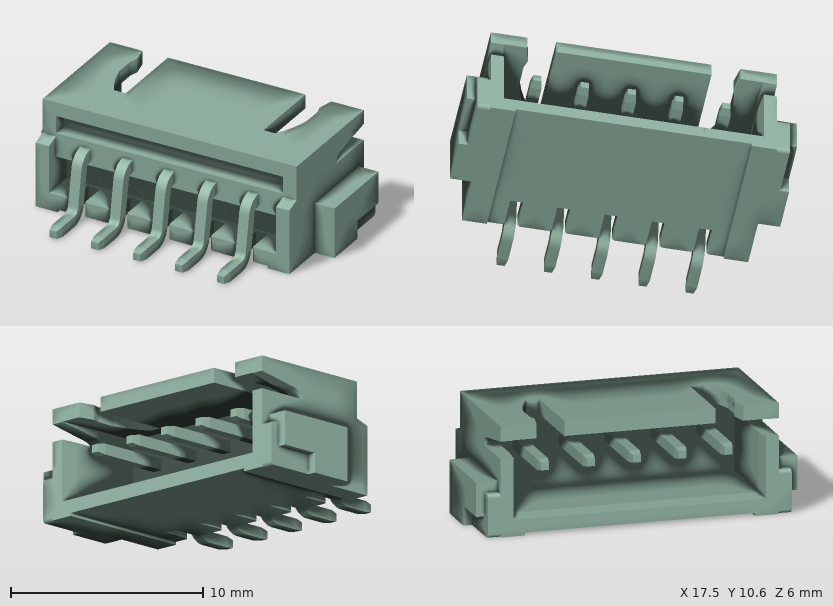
import cadquery as cq
import math


width = 15.15
height = 6.0
wall = 0.8
roof_depth = 7.12
base_depth = 7.88
step_top = 4.0
step_bottom = 3.76
foot_width = 1.31
foot_height = 0.15

inner_width = width - 2 * wall
ceiling = height - wall
floor_level = 1.0

recess_depth = 6.0
shelf_depth = 6.32
web_top = 4.18
web_bottom = 2.8
web_slope = 15.0

cavity_depth = recess_depth - wall
lead_depth = 1.0
lead_flare = 0.1

pin_count = 5
pin_pitch = 2.5
pin_size = 0.6
pin_top = 3.8
pin_start = 0.5
pin_end = 10.6
pin_tip = 0.49
pin_tip_taper = 10.0
bend_radius = 0.7
leg_tilt = 10.0

relief_width = 0.7
relief_chamfer = 0.1
relief_depth = 6.21

roof_slot_inner = 4.11
roof_slot_end = 4.48
roof_slot_neck = (5.45, -0.91)
roof_slot_mouth = 5.64
roof_slot_widest = 5.58
roof_slot_straight = (-1.36, -2.48)
roof_slot_arc_middle = (5.28, -3.54)
roof_slot_end_outer = 4.8

side_slot_bottom = 4.24
side_slot_mouth = 5.18
side_slot_tilt = 10.0
side_slot_radius = 0.52
side_slot_depth = 2.9

overall_width = 17.5
ear_back = 0.52
ear_front = 5.18
ear_height = 2.92
ear_notch_height = 1.07
tab_span = 16.55
tab_length = 2.75
tab_height = 2.36
tab_corner = 0.21

pin_places = [(i - (pin_count - 1) / 2) * pin_pitch for i in range(pin_count)]


def block(x0, x1, y0, y1, z0, z1):
    """Box between two opposite corners."""
    return cq.Workplane("XY").box(x1 - x0, y1 - y0, z1 - z0, centered=False).translate((x0, y0, z0))


def bar_along_x(outline, length):
    """Outline of (y, z) points extruded over a length centred on X = 0."""
    return cq.Workplane("YZ").polyline(outline).close().extrude(length / 2, both=True)


def mirrored_pair(body):
    """A body and its mirror image across X = 0."""
    return body.union(body.mirror("YZ"))


def housing_shell():
    """Side profile with the sloped step, raised off the board between two feet."""
    outline = [
        (0, 0),
        (0, height),
        (-roof_depth, height),
        (-roof_depth, step_top),
        (-base_depth, step_bottom),
        (-base_depth, 0),
    ]
    foot_gap = width / 2 - foot_width
    return bar_along_x(outline, width).cut(block(-foot_gap, foot_gap, -base_depth, 0, 0, foot_height))


def window():
    """Space cut from the front above and below the web."""
    slope_drop = (roof_depth - recess_depth) * math.tan(math.radians(web_slope))
    outline = [
        (-base_depth, floor_level),
        (-base_depth, ceiling),
        (-shelf_depth, ceiling),
        (-shelf_depth, web_top),
        (-roof_depth, web_top),
        (-roof_depth, web_bottom),
        (-recess_depth, web_bottom - slope_drop),
        (-recess_depth, floor_level),
    ]
    return bar_along_x(outline, inner_width)


def cavity():
    """Mating cavity, flared at the mouth on its floor and its two side walls."""
    half = inner_width / 2
    body = block(-half, half, -cavity_depth, 0, floor_level, ceiling)
    mouth = (
        cq.Workplane("XZ")
        .polyline(cavity_section(lead_flare)).close()
        .workplane(offset=lead_depth)
        .polyline(cavity_section(0)).close()
        .loft(ruled=True)
    )
    return body.union(mouth)


def cavity_section(flare):
    """Cavity cross-section, widened by the flare on the floor and both sides."""
    half = inner_width / 2 + flare
    bottom = floor_level - flare
    return [(-half, bottom), (half, bottom), (half, ceiling), (-half, ceiling)]


def roof_slots():
    """Two slots through the roof, open at the mating face, with a curved outer edge."""
    straight_back, straight_front = roof_slot_straight
    slot = (
        cq.Workplane("XY", origin=(0, 0, ceiling))
        .moveTo(roof_slot_inner, 0)
        .lineTo(roof_slot_inner, -roof_slot_end)
        .lineTo(roof_slot_end_outer, -roof_slot_end)
        .threePointArc(roof_slot_arc_middle, (roof_slot_widest, straight_front))
        .lineTo(roof_slot_widest, straight_back)
        .lineTo(*roof_slot_neck)
        .lineTo(roof_slot_mouth, 0)
        .close()
        .extrude(wall)
    )
    return mirrored_pair(slot)


def side_slots():
    """Tapered slot through both side walls, open at the mating face."""
    tilt = math.radians(side_slot_tilt)
    centre_y = side_slot_radius - side_slot_depth
    arc_start_y = centre_y - side_slot_radius * math.sin(tilt)
    arc_start_z = side_slot_mouth + arc_start_y * math.tan(tilt)
    diagonal = side_slot_radius * math.sqrt(0.5)
    return (
        cq.Workplane("YZ")
        .moveTo(0, side_slot_bottom)
        .lineTo(0, side_slot_mouth)
        .lineTo(arc_start_y, arc_start_z)
        .threePointArc(
            (centre_y - diagonal, side_slot_bottom + diagonal),
            (-side_slot_depth, side_slot_bottom),
        )
        .close()
        .extrude(width / 2, both=True)
    )


def relief_slot(x):
    """Slot in the window floor below the pin at x, chamfered at its front corners."""
    half = relief_width / 2
    mouth = half + relief_chamfer
    chamfer_y = relief_chamfer - base_depth
    outline = [
        (-mouth, -base_depth),
        (mouth, -base_depth),
        (half, chamfer_y),
        (half, -relief_depth),
        (-half, -relief_depth),
        (-half, chamfer_y),
    ]
    return cq.Workplane("XY").polyline(outline).close().extrude(floor_level).translate((x, 0, 0))


def ears():
    """Side blocks, notched at the lower back where the solder tabs show."""
    ear = block(width / 2, overall_width / 2, -ear_front, -ear_back, 0, ear_height)
    notch = block(tab_span / 2, overall_width / 2, -tab_length, -ear_back, 0, ear_notch_height)
    return mirrored_pair(ear.cut(notch))


def solder_tab():
    """Rounded plate on the +X side, half sunk into the ear."""
    return (
        block(width / 2, tab_span / 2, -tab_length, 0, 0, tab_height)
        .edges("|X")
        .fillet(tab_corner)
    )


def pin():
    """Square wire at X = 0: straight through the web, down a tilted leg, out along the board."""
    half = pin_size / 2
    tilt = math.radians(leg_tilt)
    upper_z = pin_top - half
    bend_drop = bend_radius * (1 - math.sin(tilt))
    bend_run = bend_radius * math.cos(tilt)
    leg_drop = upper_z - half - 2 * bend_drop
    leg_run = leg_drop * math.tan(tilt)
    upper_bend_y = -roof_depth
    leg_top = (upper_bend_y - bend_run, upper_z - bend_drop)
    leg_bottom = (leg_top[0] - leg_run, half + bend_drop)
    back_base = -(pin_start + pin_tip)
    front_base = -(pin_end - pin_tip)
    path = (
        cq.Workplane("YZ")
        .moveTo(back_base, upper_z)
        .lineTo(upper_bend_y, upper_z)
        .tangentArcPoint(leg_top, relative=False)
        .lineTo(*leg_bottom)
        .tangentArcPoint((leg_bottom[0] - bend_run, half), relative=False)
        .lineTo(front_base, half)
    )
    wire = cq.Workplane("XZ", origin=(0, back_base, upper_z)).rect(pin_size, pin_size).sweep(path)
    front_tip = pin_point((0, front_base, half), (0, -1, 0))
    back_tip = pin_point((0, back_base, upper_z), (0, 1, 0))
    return wire.union(front_tip).union(back_tip)


def pin_point(origin, direction):
    """Tapered end of a pin."""
    plane = cq.Plane(origin=origin, xDir=(1, 0, 0), normal=direction)
    return cq.Workplane(plane).rect(pin_size, pin_size).extrude(pin_tip, taper=pin_tip_taper)


def build_housing(fitted_bodies):
    """Housing with matching recesses for the pins and tabs."""
    body = housing_shell().union(ears())
    reliefs = [relief_slot(x) for x in pin_places]
    for cutter in [window(), cavity(), roof_slots(), side_slots(), *reliefs, *fitted_bodies]:
        body = body.cut(cutter)
    return body


pins = [pin().translate((x, 0, 0)) for x in pin_places]
tabs = [solder_tab(), solder_tab().mirror("YZ")]
housing = build_housing(pins + tabs)

result = cq.Compound.makeCompound([body.val() for body in [housing, *tabs, *pins]])